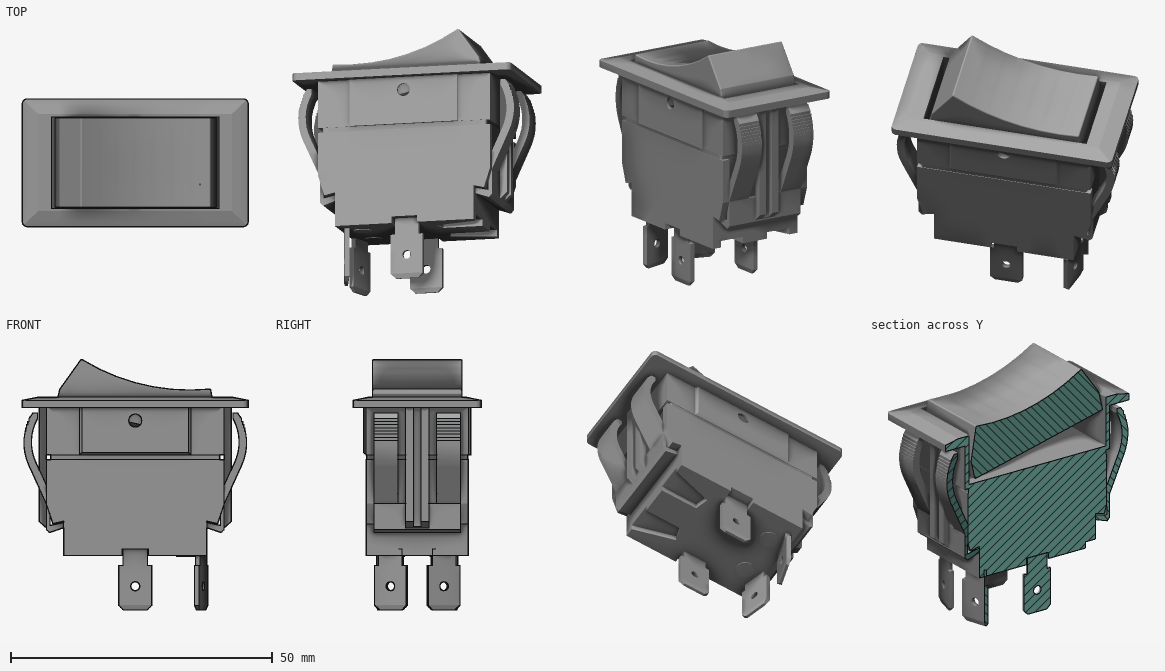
import cadquery as cq
import math


bezel_length = 43.2
bezel_width = 24.5
bezel_edge_height = 1.4
bezel_top = 2.0
bezel_corner_radius = 1.0
bezel_flat_length = 37.07
bezel_flat_width = 18.6

body_half_length = 17.0
body_half_width = 9.75
opening_length = 32.0
opening_width = 17.45
opening_floor = -8.15
upper_body_bottom = -9.05
lower_body_top = -9.95
neck_half_length = 16.2
neck_half_width = 9.68
neck_corner_radius = 0.4
body_bottom = -28.3
foot_half_length = 13.7
foot_top = -21.75
hook_seat_x = 15.75
hook_seat_z = -22.23

panel_half_length = 10.7
panel_height = 0.5
pivot_z = -2.5
pivot_diameter = 2.5

rib_reach = 18.4
rib_width = 4.4
rib_bottom = -23.0
rib_chamfer_height = 1.25
rib_groove_width = 1.4
rib_groove_depth = 1.1

clip_width = 16.55
prong_width = 4.6
prong_thickness = 1.5
prong_radius = 10.8
prong_center_x = 10.55
prong_center_z = -6.6
prong_top = -1.0
prong_tip_inner_x = 18.7
prong_tip_outer_x = 19.55
grip_step_count = 7
grip_step_angle = math.radians(3.3)
grip_end_angle = math.radians(1.5)
leg_angle = math.radians(24.6)
band_thickness = 0.7
band_inner_x = body_half_length - band_thickness
hook_top = -22.5
hook_corner_z = -23.3
hook_bottom_x = 16.4
hook_bottom = -23.9
hook_tip_top = -21.95
hook_tip_bottom = -23.0

rocker_tilt = 13.0
rocker_half_length = 15.4
rocker_width = 17.15
rocker_ridge_half_length = 12.7
rocker_ridge_height = 9.15
rocker_dish_depth = 2.1
rocker_shoulder_height = 2.6
rocker_bottom = -1.5
rocker_edge_radius = 0.3
pin_ramp_start = -0.55

blade_width = 6.3
blade_thickness = 0.9
blade_bottom = -38.7
blade_shoulder = -30.2
blade_neck_width = 4.7
blade_tip_chamfer = 0.9
blade_tip_bevel = 0.2
blade_hole_diameter = 1.7
blade_hole_z = -34.15
notch_ceiling = -27.0
center_blade_y = 7.35
end_blade_x = 12.6
end_blade_y = 5.05
end_blade_angle = 16.0

center_notch_width = 5.1
end_notch_inner_y = 2.8
end_notch_middle_y = 5.5
end_notch_outer_y = 7.95
disc_diameter = 3.5
disc_height = 0.15
disc_x = 9.65
disc_y = 4.15


def block(length, width, bottom, top):
    """Box centred on X and Y between two heights."""
    return cq.Workplane("XY", origin=(0, 0, bottom)).rect(length, width).extrude(top - bottom)


def extrude_profile(profile, width):
    """Extrude a closed XZ profile symmetrically about Y = 0."""
    return profile.extrude(width / 2, both=True)


def arc_point(radius, angle):
    """Point on a prong arc of the +X clip; the angle is measured upward from +X."""
    return (prong_center_x + radius * math.cos(angle), prong_center_z + radius * math.sin(angle))


prong_inner_radius = prong_radius - prong_thickness
leg_outer_start = arc_point(prong_radius, -leg_angle)
leg_inner_start = arc_point(prong_inner_radius, -leg_angle)
leg_end_z = leg_outer_start[1] - (leg_outer_start[0] - body_half_length) / math.tan(leg_angle)
leg_inner_end_z = leg_inner_start[1] - (leg_inner_start[0] - band_inner_x) / math.tan(leg_angle)


def make_bezel():
    """Flange with round corners and four faces sloping up to a flat rim."""
    sloped_top = (
        cq.Workplane("XY", origin=(0, 0, bezel_edge_height))
        .rect(bezel_length, bezel_width)
        .workplane(offset=bezel_top - bezel_edge_height)
        .rect(bezel_flat_length, bezel_flat_width)
        .loft(ruled=True)
    )
    rounded = block(bezel_length, bezel_width, 0, bezel_top).edges("|Z").fillet(bezel_corner_radius)
    return block(bezel_length, bezel_width, 0, bezel_edge_height).union(sloped_top).intersect(rounded)


def make_lower_body():
    """Lower block, narrowed to a foot, with a recess at each end for the clip."""
    half_outline = [
        (body_half_length, lower_body_top),
        (body_half_length, leg_end_z),
        (hook_seat_x, hook_seat_z),
        (foot_half_length, foot_top),
        (foot_half_length, body_bottom),
    ]
    mirrored = [(-x, z) for x, z in reversed(half_outline)]
    lower = extrude_profile(
        cq.Workplane("XZ").polyline(half_outline + mirrored).close(), 2 * body_half_width
    )
    for side in (-1, 1):
        recess = block(2 * band_thickness, clip_width, body_bottom, lower_body_top)
        lower = lower.cut(recess.translate((side * (band_inner_x + band_thickness), 0, 0)))
    return lower


def make_bevelled_panel():
    """Raised panel on the -Y wall, bevelled at its ends and along the bottom."""
    face_half_length = panel_half_length - panel_height
    base_rise = -upper_body_bottom
    face_rise = base_rise - panel_height
    return (
        cq.Workplane("XZ", origin=(0, -body_half_width, 0))
        .center(0, -base_rise / 2)
        .rect(2 * panel_half_length, base_rise)
        .workplane(offset=panel_height)
        .center(0, panel_height / 2)
        .rect(2 * face_half_length, face_rise)
        .loft(ruled=True)
    )


def make_square_panel():
    """Raised panel on the +Y wall with square ends."""
    panel = block(2 * panel_half_length, panel_height, upper_body_bottom, 0)
    return panel.translate((0, body_half_width + panel_height / 2, 0))


def make_end_rib():
    """Grooved vertical rib on the +X end, hanging from the upper body in front of the clip band."""
    rib = extrude_profile(
        cq.Workplane("XZ")
        .polyline(
            [
                (body_half_length, 0),
                (rib_reach, 0),
                (rib_reach, rib_bottom + rib_chamfer_height),
                (body_half_length, rib_bottom),
            ]
        )
        .close(),
        rib_width,
    )
    groove = block(2 * rib_groove_depth, rib_groove_width, rib_bottom, 0)
    return rib.cut(groove.translate((rib_reach, 0, 0)))


def make_end_notch():
    """Notch under the -X, -Y foot corner; its back slants like a blade, its outer wall is square to it."""
    slant = math.tan(math.radians(end_blade_angle))
    back_corner_x = -foot_half_length + (end_notch_outer_y - end_notch_middle_y) / slant
    back_drop = (end_notch_middle_y - end_notch_inner_y) * slant
    return (
        cq.Workplane("XY", origin=(0, 0, body_bottom))
        .polyline(
            [
                (-foot_half_length, -end_notch_outer_y),
                (back_corner_x, -end_notch_middle_y),
                (back_corner_x - back_drop, -end_notch_inner_y),
                (-foot_half_length, -end_notch_inner_y),
            ]
        )
        .close()
        .extrude(notch_ceiling - body_bottom)
    )


def make_center_notch():
    """Notch in the lower -Y edge that seats the neck of a centre blade."""
    depth = body_half_width - center_blade_y + blade_thickness / 2
    notch = block(center_notch_width, depth, body_bottom, notch_ceiling)
    return notch.translate((0, -body_half_width + depth / 2, 0))


def make_housing():
    """Bezel, hollow upper body, neck, lower body and ribs as one moulding."""
    neck = block(2 * neck_half_length, 2 * neck_half_width, lower_body_top, upper_body_bottom)
    neck = neck.edges("|Z").fillet(neck_corner_radius)
    housing = make_bezel().union(block(2 * body_half_length, 2 * body_half_width, upper_body_bottom, 0))
    housing = housing.union(neck).union(make_lower_body())

    housing = housing.union(make_bevelled_panel()).union(make_square_panel())

    rib = make_end_rib()
    housing = housing.union(rib).union(rib.mirror("YZ"))

    housing = housing.cut(block(opening_length, opening_width, opening_floor, bezel_top))
    pivot_hole = cq.Workplane("XZ", origin=(0, 0, pivot_z)).circle(pivot_diameter / 2)
    housing = housing.cut(extrude_profile(pivot_hole, bezel_width))

    for notch in (make_end_notch(), make_center_notch()):
        housing = housing.cut(notch).cut(notch.mirror("XZ"))

    discs = (
        cq.Workplane("XY", origin=(0, 0, body_bottom))
        .pushPoints([(disc_x, -disc_y), (disc_x, disc_y)])
        .circle(disc_diameter / 2)
        .extrude(-disc_height)
    )
    return housing.union(discs)


def make_clip():
    """Spring clip at the +X end: two bowed prongs on one band with a hook below."""
    grip_angles = [grip_end_angle + i * grip_step_angle for i in range(grip_step_count, -1, -1)]
    grip_points = [arc_point(prong_radius, angle) for angle in grip_angles]
    grip_stairs = [grip_points[0]]
    for upper, lower in zip(grip_points, grip_points[1:]):
        grip_stairs += [(upper[0], lower[1]), lower]
    inner_tip_angle = math.acos((prong_tip_inner_x - prong_center_x) / prong_inner_radius)
    prong = extrude_profile(
        cq.Workplane("XZ")
        .polyline([(prong_tip_outer_x, prong_top)] + grip_stairs)
        .threePointArc(arc_point(prong_radius, -leg_angle / 2), leg_outer_start)
        .lineTo(body_half_length, leg_end_z)
        .lineTo(band_inner_x, leg_end_z)
        .lineTo(band_inner_x, leg_inner_end_z)
        .lineTo(*leg_inner_start)
        .threePointArc(arc_point(prong_inner_radius, 0), arc_point(prong_inner_radius, inner_tip_angle))
        .lineTo(prong_tip_inner_x, prong_top)
        .close(),
        prong_width,
    )
    clip = extrude_profile(
        cq.Workplane("XZ")
        .polyline(
            [
                (body_half_length, leg_end_z),
                (body_half_length, hook_corner_z),
                (hook_bottom_x, hook_bottom),
                (foot_half_length, hook_tip_bottom),
                (foot_half_length, hook_tip_top),
                (band_inner_x, hook_top),
                (band_inner_x, leg_end_z),
            ]
        )
        .close(),
        clip_width,
    )
    prong_y = (clip_width - prong_width) / 2
    for side in (-1, 1):
        clip = clip.union(prong.translate((0, side * prong_y, 0)))
    return clip


def make_pivot_pin():
    """Pivot pin on the -Y side of the upright rocker, ramped below for snapping in."""
    radius = pivot_diameter / 2
    end_y = -body_half_width
    pin = cq.Workplane("XZ").circle(radius).extrude(body_half_width)
    ramp_rise = pin_ramp_start + radius
    ramp = (
        cq.Workplane("YZ")
        .polyline([(end_y, pin_ramp_start), (end_y + ramp_rise, -radius), (end_y, -radius)])
        .close()
        .extrude(radius, both=True)
    )
    return pin.cut(ramp)


def make_rocker():
    """Dished rocker, modelled upright about its pivot and then tilted into place."""
    dish = (0, rocker_ridge_height - rocker_dish_depth)
    rocker = extrude_profile(
        cq.Workplane("XZ")
        .moveTo(-rocker_half_length, rocker_bottom)
        .lineTo(-rocker_half_length, rocker_shoulder_height)
        .lineTo(-rocker_ridge_half_length, rocker_ridge_height)
        .threePointArc(dish, (rocker_ridge_half_length, rocker_ridge_height))
        .lineTo(rocker_half_length, rocker_shoulder_height)
        .lineTo(rocker_half_length, rocker_bottom)
        .close(),
        rocker_width,
    )
    upper_edges = cq.selectors.BoxSelector(
        (-2 * rocker_half_length, -rocker_width, 0),
        (2 * rocker_half_length, rocker_width, 2 * rocker_ridge_height),
    )
    rocker = rocker.edges(upper_edges).fillet(rocker_edge_radius)
    pin = make_pivot_pin()
    rocker = rocker.union(pin).union(pin.mirror("XZ"))
    return rocker.rotate((0, 0, 0), (0, 1, 0), rocker_tilt).translate((0, 0, pivot_z))


def make_blade():
    """Blade terminal lying in the XZ plane, centred on Y = 0."""
    half_width = blade_width / 2
    half_thickness = blade_thickness / 2
    outline = extrude_profile(
        cq.Workplane("XZ")
        .polyline(
            [
                (-half_width, blade_shoulder),
                (-half_width, blade_bottom + blade_tip_chamfer),
                (-half_width + blade_tip_chamfer, blade_bottom),
                (half_width - blade_tip_chamfer, blade_bottom),
                (half_width, blade_bottom + blade_tip_chamfer),
                (half_width, blade_shoulder),
            ]
        )
        .close(),
        blade_thickness,
    )
    bevelled_section = (
        cq.Workplane("YZ")
        .polyline(
            [
                (-half_thickness, blade_shoulder),
                (-half_thickness, blade_bottom + blade_tip_chamfer),
                (-half_thickness + blade_tip_bevel, blade_bottom),
                (half_thickness - blade_tip_bevel, blade_bottom),
                (half_thickness, blade_bottom + blade_tip_chamfer),
                (half_thickness, blade_shoulder),
            ]
        )
        .close()
        .extrude(half_width, both=True)
    )
    neck = block(blade_neck_width, blade_thickness, blade_shoulder, notch_ceiling)
    hole = cq.Workplane("XZ", origin=(0, 0, blade_hole_z)).circle(blade_hole_diameter / 2)
    return outline.intersect(bevelled_section).union(neck).cut(extrude_profile(hole, blade_width))


housing = make_housing()
rocker = make_rocker()

clip = make_clip()
clips = [clip, clip.mirror("YZ")]

terminals = []
for side in (-1, 1):
    center_blade = make_blade().translate((0, side * center_blade_y, 0))
    end_blade = (
        make_blade()
        .rotate((0, 0, 0), (0, 0, 1), 90 + side * end_blade_angle)
        .translate((end_blade_x, side * end_blade_y, 0))
    )
    terminals += [center_blade, end_blade]
for terminal in terminals:
    housing = housing.cut(terminal)

bodies = [housing, rocker, *clips, *terminals]
result = cq.Compound.makeCompound([body.val() for body in bodies])